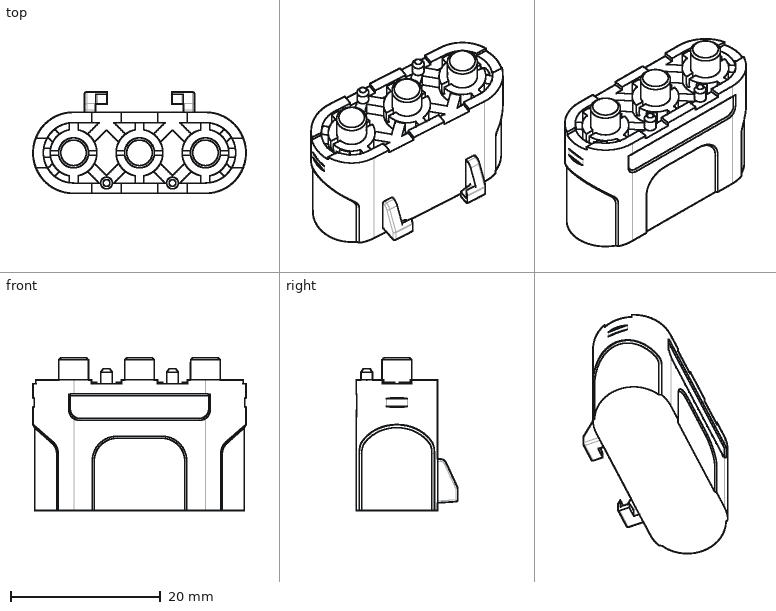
import cadquery as cq
import math

PITCH = 8.8
BODY_RADIUS = 5.425
BODY_HEIGHT = 17.45
BIG = 40.0

CAVITY_RADIUS = 4.03
CAVITY_FLOOR_Z = 15.0
NOTCH_FLOOR_Z = 16.95
COLLAR_RADIUS = 3.12
COLLAR_TOP_Z = 17.1
SLOT_WIDTH = 0.6
SLOT_BOTTOM_Z = 15.5
RIB_WIDTH = 1.2
DIAGONAL_RIB_WIDTH = 1.4

SIDE_NOTCH_WIDTH = 3.95
END_NOTCH_WIDTH = 3.94
END_NOTCH_INNER_X = 12.42

PIN_RADIUS = 2.0
PIN_TOP_Z = 20.4
PIN_CHAMFER = 0.3
PEG_RADIUS = 0.78
PEG_TIP_RADIUS = 0.45
PEG_TOP_Z = 18.95
PEG_CONE_HEIGHT = 0.5

PANEL_DEPTH = 0.2
PANEL_FLARE = 0.27
LABEL_HALF_WIDTH = 9.5
LABEL_TOP_Z = 15.58
LABEL_BOTTOM_Z = 12.05
LABEL_CORNER_RADIUS = 1.5
GRIP_HALF_WIDTH = 6.3
GRIP_TOP_Z = 9.93
GRIP_CORNER_RADIUS = 3.3
END_PANEL_DEPTH = 0.23
END_PANEL_X = 10.85
END_PANEL_PEAK_Z = 11.5
END_PANEL_SLOPE = 0.87
END_PANEL_CORNER_RADIUS = 2.0

WINDOW_WIDTH = 2.8
WINDOW_BOTTOM_Z = 13.9
WINDOW_TOP_Z = 14.95
WINDOW_FLARE = 0.13

LATCH_OUTER_X = 7.35
LATCH_INNER_X = 5.84
LATCH_TIP_X = 4.33
LATCH_REACH_Y = 8.125
LATCH_FRONT_THICKNESS = 0.33
LATCH_TOP_Z = 6.9
LATCH_SHOULDER_Y = 6.35
LATCH_SLOPE_END_Z = 3.05
LATCH_FRONT_BOTTOM_Z = 1.2
LATCH_ROOT_BOTTOM_Z = 1.0
LATCH_SHOULDER_RADIUS = 0.9
LATCH_NOSE_RADIUS = 0.25
LATCH_EDGE_RADIUS = 0.3
SHELF_INNER_Y = 6.49
SHELF_ROOT_Z = 2.6
SHELF_TIP_Z = 2.1

PIN_XS = (-PITCH, 0, PITCH)
MID_XS = (-PITCH / 2, PITCH / 2)
TIP_X = PITCH + BODY_RADIUS


def stadium(radius, bottom_z, top_z):
    """Upright prism with straight sides and round ends centred on the outer pins."""
    outline = cq.Workplane("XY").workplane(offset=bottom_z).slot2D(2 * (PITCH + radius), 2 * radius)
    return outline.extrude(top_z - bottom_z)


def block(x_limits, y_limits, z_limits):
    """Box given by its limits along each axis."""
    sizes = [high - low for low, high in (x_limits, y_limits, z_limits)]
    corner = (x_limits[0], y_limits[0], z_limits[0])
    return cq.Workplane("XY").box(*sizes, centered=False).translate(corner)


def post(x, y, radius, bottom_z, top_z):
    return cq.Workplane("XY").workplane(offset=bottom_z).center(x, y).circle(radius).extrude(top_z - bottom_z)


def both_ends(tool):
    """The tool together with its mirror image across the YZ plane."""
    return tool.union(tool.mirror("YZ"))


def diagonal_ribs():
    """Four 45 degree ribs per pin, level with the notch floors and aimed half a pitch along each wall."""
    height = NOTCH_FLOOR_Z - CAVITY_FLOOR_Z
    length = PITCH / math.sqrt(2)
    bar = cq.Workplane("XY").box(length, DIAGONAL_RIB_WIDTH, height, centered=(False, True, False))
    ribs = cq.Workplane("XY")
    collars = cq.Workplane("XY")
    for x in PIN_XS:
        collars = collars.add(post(x, 0, COLLAR_RADIUS, CAVITY_FLOOR_Z, BODY_HEIGHT))
        for along in (-1, 1):
            for across in (-1, 1):
                angle = math.degrees(math.atan2(-across, -along))
                wall_end = (x + along * PITCH / 2, across * CAVITY_RADIUS, CAVITY_FLOOR_Z)
                ribs = ribs.add(bar.rotate((0, 0, 0), (0, 0, 1), angle).translate(wall_end))
    inside = stadium(CAVITY_RADIUS, CAVITY_FLOOR_Z, BODY_HEIGHT)
    return ribs.combine().intersect(inside).cut(collars.combine())


def collar(x):
    """Round collar with two cross ribs to the side walls and a round-bottomed slot along X."""
    ring = post(x, 0, COLLAR_RADIUS, CAVITY_FLOOR_Z, COLLAR_TOP_Z)
    rib_x = (x - RIB_WIDTH / 2, x + RIB_WIDTH / 2)
    ring = ring.union(block(rib_x, (-CAVITY_RADIUS, CAVITY_RADIUS), (CAVITY_FLOOR_Z, COLLAR_TOP_Z)))
    slot_height = COLLAR_TOP_Z + SLOT_WIDTH - SLOT_BOTTOM_Z
    slot_plane = cq.Workplane("YZ", origin=(x, 0, SLOT_BOTTOM_Z + slot_height / 2))
    slot = slot_plane.slot2D(slot_height, SLOT_WIDTH, 90).extrude(COLLAR_RADIUS, both=True)
    return ring.cut(slot)


def end_ribs():
    """Low ribs joining the outer collars to the round ends of the cavity."""
    rib_y = (-RIB_WIDTH / 2, RIB_WIDTH / 2)
    rib_x = (PITCH + PIN_RADIUS, PITCH + CAVITY_RADIUS)
    return both_ends(block(rib_x, rib_y, (CAVITY_FLOOR_Z, SLOT_BOTTOM_Z)))


def rim_notches():
    """Notches through the rim: at the mid points on both sides and at both ends."""
    notch_z = (NOTCH_FLOOR_Z, BODY_HEIGHT)
    half_end = END_NOTCH_WIDTH / 2
    tools = both_ends(block((END_NOTCH_INNER_X, BIG), (-half_end, half_end), notch_z))
    for x in MID_XS:
        notch_x = (x - SIDE_NOTCH_WIDTH / 2, x + SIDE_NOTCH_WIDTH / 2)
        tools = tools.union(block(notch_x, (-BIG, BIG), notch_z))
    return tools


def contact_pin(x):
    pin = post(x, 0, PIN_RADIUS, CAVITY_FLOOR_Z, PIN_TOP_Z)
    return pin.faces(">Z").chamfer(PIN_CHAMFER)


def locating_peg(x):
    peg = post(x, -CAVITY_RADIUS, PEG_RADIUS, CAVITY_FLOOR_Z, PEG_TOP_Z)
    return peg.faces(">Z").chamfer(PEG_CONE_HEIGHT, PEG_RADIUS - PEG_TIP_RADIUS)


def flared_panel(half_width, bottom_z, top_z, corner_radius, rounded_corners):
    """Shallow recess tool in the -Y wall whose sides slope in towards its floor."""
    width = 2 * half_width
    height = top_z - bottom_z
    plane = cq.Workplane("XZ", origin=(0, -BODY_RADIUS, bottom_z + height / 2))
    sketch = cq.Sketch().rect(width, height).vertices(rounded_corners).fillet(corner_radius)
    taper = math.degrees(math.atan2(PANEL_FLARE, PANEL_DEPTH))
    tool = plane.placeSketch(sketch).extrude(-PANEL_DEPTH, taper=taper)
    return tool.cut(stadium(BODY_RADIUS - PANEL_DEPTH, 0, BODY_HEIGHT))


def end_panels(body):
    """Recess the rounded ends below a slanted edge that turns down to the base."""
    drop = (TIP_X - END_PANEL_X) * END_PANEL_SLOPE
    beyond = BODY_RADIUS
    corner_z = END_PANEL_PEAK_Z - drop
    outline = [
        (END_PANEL_X, -beyond),
        (END_PANEL_X, corner_z),
        (TIP_X + beyond, END_PANEL_PEAK_Z + beyond * END_PANEL_SLOPE),
        (TIP_X + beyond, -beyond),
    ]
    prism = cq.Workplane("XZ").polyline(outline).close().extrude(2 * BODY_RADIUS, both=True)
    corner = cq.selectors.NearestToPointSelector((END_PANEL_X, 0, corner_z))
    prism = prism.edges("|Y").edges(corner).fillet(END_PANEL_CORNER_RADIUS)
    prism = prism.cut(stadium(BODY_RADIUS - END_PANEL_DEPTH, -beyond, BODY_HEIGHT))
    floor_point = cq.selectors.NearestToPointSelector((TIP_X - END_PANEL_DEPTH, 0, corner_z / 2))
    prism = prism.faces(floor_point).edges("not <Z").chamfer(END_PANEL_DEPTH)
    return body.cut(both_ends(prism))


def end_windows():
    """Flat-floored windows in the rounded ends, flared at top and bottom."""
    half = WINDOW_WIDTH / 2
    floor_x = PITCH + math.sqrt(BODY_RADIUS ** 2 - half ** 2)
    outline = [
        (floor_x, WINDOW_BOTTOM_Z),
        (floor_x, WINDOW_TOP_Z),
        (TIP_X, WINDOW_TOP_Z + WINDOW_FLARE),
        (TIP_X, WINDOW_BOTTOM_Z - WINDOW_FLARE),
    ]
    return both_ends(cq.Workplane("XZ").polyline(outline).close().extrude(half, both=True))


def latch():
    """Hook on the -X half: an arm on the +Y wall, a front plate and a sloping shelf behind it."""
    root_y = BODY_RADIUS - LATCH_EDGE_RADIUS
    outline = [
        (root_y, LATCH_ROOT_BOTTOM_Z),
        (root_y, LATCH_TOP_Z),
        (LATCH_SHOULDER_Y, LATCH_TOP_Z),
        (LATCH_REACH_Y, LATCH_SLOPE_END_Z),
        (LATCH_REACH_Y, LATCH_FRONT_BOTTOM_Z),
    ]
    hook = cq.Workplane("YZ", origin=(-LATCH_OUTER_X, 0, 0)).polyline(outline).close()
    hook = hook.extrude(LATCH_OUTER_X - LATCH_TIP_X)
    shoulder = cq.selectors.NearestToPointSelector((-LATCH_INNER_X, LATCH_SHOULDER_Y, LATCH_TOP_Z))
    hook = hook.edges("|X").edges(shoulder).fillet(LATCH_SHOULDER_RADIUS)
    hook = hook.edges("|X and >Y").fillet(LATCH_NOSE_RADIUS)
    hook = hook.faces("<X").edges("not <Y").fillet(LATCH_EDGE_RADIUS)

    plate_y = LATCH_REACH_Y - LATCH_FRONT_THICKNESS
    hollow = block((-LATCH_INNER_X, 0), (0, SHELF_INNER_Y), (0, BIG))
    shelf_top = [
        (-LATCH_INNER_X, SHELF_ROOT_Z),
        (-LATCH_INNER_X, LATCH_TOP_Z),
        (-LATCH_TIP_X, LATCH_TOP_Z),
        (-LATCH_TIP_X, SHELF_TIP_Z),
    ]
    above_shelf = cq.Workplane("XZ", origin=(0, plate_y, 0)).polyline(shelf_top).close().extrude(plate_y)
    root_corner = cq.selectors.NearestToPointSelector((-LATCH_INNER_X, plate_y / 2, SHELF_ROOT_Z))
    above_shelf = above_shelf.edges(root_corner).fillet(LATCH_EDGE_RADIUS)
    return hook.cut(hollow).cut(above_shelf)


body = stadium(BODY_RADIUS, 0, BODY_HEIGHT)
body = end_panels(body)
body = body.cut(end_windows())
body = body.cut(
    flared_panel(LABEL_HALF_WIDTH, LABEL_BOTTOM_Z, LABEL_TOP_Z, LABEL_CORNER_RADIUS, "<Y")
)
body = body.cut(flared_panel(GRIP_HALF_WIDTH, -GRIP_TOP_Z, GRIP_TOP_Z, GRIP_CORNER_RADIUS, ">Y"))

body = body.cut(stadium(CAVITY_RADIUS, CAVITY_FLOOR_Z, BODY_HEIGHT))
body = body.cut(rim_notches())
body = body.union(diagonal_ribs()).union(end_ribs())
for pin_x in PIN_XS:
    body = body.union(collar(pin_x)).union(contact_pin(pin_x))
for peg_x in MID_XS:
    body = body.union(locating_peg(peg_x))

result = body.union(both_ends(latch())).clean()